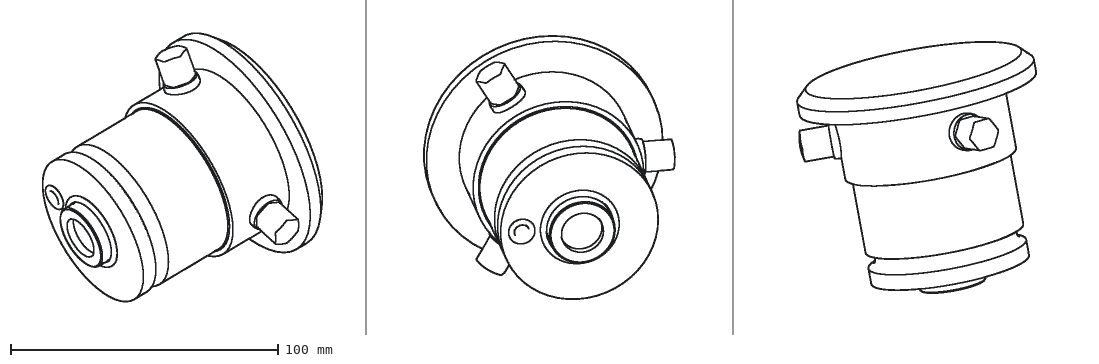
import cadquery as cq
import math


flange_diameter = 90.0
flange_end = 9.0
flange_chamfer = 3.95
hub_diameter = 65.0
hub_end = 36.0
body_diameter = 60.0
body_end = 77.1
step_chamfer = 0.5
groove_radius = 3.0
groove_place = 68.0

boss_diameter = 25.0
boss_end = 83.0
boss_chamfer = 0.5
bore_diameter = 16.0
bore_depth = 3.0

ring_outer_diameter = 30.0
ring_inner_diameter = 25.6
ring_height = 1.5

button_offset = 22.1
button_diameter = 10.0
button_height = 1.3
socket_diameter = 5.6
socket_depth = 1.8
socket_fillet = 0.55

knob_count = 3
knob_place = 21.1
overall_width = 91.95
knob_reach = overall_width - flange_diameter / 2
knob_across_flats = 11.0
knob_edge_fillet = 0.9
knob_dome_radius = 20.0
collar_diameter = 14.0
collar_reach = 34.9
collar_taper_length = 1.0
collar_taper_depth = 0.3
knob_root = 27.6


def front_cylinder(diameter, start, length):
    """Cylinder about the main axis, reaching toward -Y from a given distance off the flange back face."""
    return cq.Workplane("XZ", origin=(0, -start, 0)).circle(diameter / 2).extrude(length)


def make_body():
    """Flange, hub, chamfered step and body, turned about Y."""
    flange_radius = flange_diameter / 2
    hub_radius = hub_diameter / 2
    body_radius = body_diameter / 2
    return (
        cq.Workplane("XY")
        .moveTo(0, 0)
        .lineTo(flange_radius - flange_chamfer, 0)
        .lineTo(flange_radius, -flange_chamfer)
        .lineTo(flange_radius, -flange_end)
        .lineTo(hub_radius, -flange_end)
        .lineTo(hub_radius, -hub_end)
        .lineTo(body_radius + step_chamfer, -hub_end)
        .lineTo(body_radius, -hub_end - step_chamfer)
        .lineTo(body_radius, -groove_place + groove_radius)
        .threePointArc(
            (body_radius - groove_radius, -groove_place),
            (body_radius, -groove_place - groove_radius),
        )
        .lineTo(body_radius, -body_end)
        .lineTo(0, -body_end)
        .close()
        .revolve(360, (0, 0, 0), (0, 1, 0))
    )


def make_boss():
    """Central boss with a chamfered rim, standing on the front face of the body."""
    boss = front_cylinder(boss_diameter, body_end, boss_end - body_end)
    return boss.faces("<Y").edges().chamfer(boss_chamfer)


def round_edged_disc(diameter, height):
    """Disc lying on the front face of the body, with a half-round rim as tall as the disc."""
    rim_radius = height / 2
    radius = diameter / 2
    top = -body_end - height
    return (
        cq.Workplane("XY")
        .moveTo(0, -body_end)
        .lineTo(radius - rim_radius, -body_end)
        .threePointArc((radius, -body_end - rim_radius), (radius - rim_radius, top))
        .lineTo(0, top)
        .close()
        .revolve(360, (0, 0, 0), (0, 1, 0))
    )


def make_ring():
    """Flat ring with a half-round rim, separated from the boss by a narrow gap."""
    disc = round_edged_disc(ring_outer_diameter, ring_height)
    return disc.cut(front_cylinder(ring_inner_diameter, body_end, ring_height))


def make_button():
    """Small disc with a half-round rim, set off from the main axis toward -X."""
    return round_edged_disc(button_diameter, button_height).translate((-button_offset, 0, 0))


def make_button_socket():
    """Round socket with a rounded lip at the button face and a rounded corner at its floor."""
    lip = -body_end - button_height
    floor = lip + socket_depth
    wall = socket_diameter / 2
    arc_inset = socket_fillet * (1 - math.sqrt(0.5))
    return (
        cq.Workplane("XY")
        .moveTo(0, lip)
        .lineTo(wall + socket_fillet, lip)
        .threePointArc((wall + arc_inset, lip + arc_inset), (wall, lip + socket_fillet))
        .lineTo(wall, floor - socket_fillet)
        .threePointArc((wall - arc_inset, floor - arc_inset), (wall - socket_fillet, floor))
        .lineTo(0, floor)
        .close()
        .revolve(360, (0, 0, 0), (0, 1, 0))
        .translate((-button_offset, 0, 0))
    )


def make_knob():
    """Domed hexagonal knob on a tapered collar, pointing along +X with two flats facing +Y and -Y."""
    root_plane = cq.Workplane("YZ", origin=(knob_root, 0, 0))
    across_corners = knob_across_flats / math.cos(math.pi / 6)
    hexagon = (
        root_plane.transformed(rotate=(0, 0, 90))
        .polygon(6, across_corners)
        .extrude(knob_reach - knob_root)
        .edges("|X")
        .fillet(knob_edge_fillet)
    )
    dome = cq.Workplane("XY").sphere(knob_dome_radius).translate((knob_reach - knob_dome_radius, 0, 0))
    collar = (
        root_plane.circle(collar_diameter / 2)
        .extrude(collar_reach - knob_root)
        .faces(">X")
        .edges()
        .chamfer(collar_taper_length, collar_taper_depth)
    )
    return hexagon.intersect(dome).union(collar).translate((0, -knob_place, 0))


result = make_body().union(make_boss()).union(make_ring()).union(make_button())

knob = make_knob()
for index in range(knob_count):
    result = result.union(knob.rotate((0, 0, 0), (0, 1, 0), index * 360 / knob_count))

result = result.cut(make_button_socket())
result = result.cut(front_cylinder(bore_diameter, boss_end - bore_depth, bore_depth))